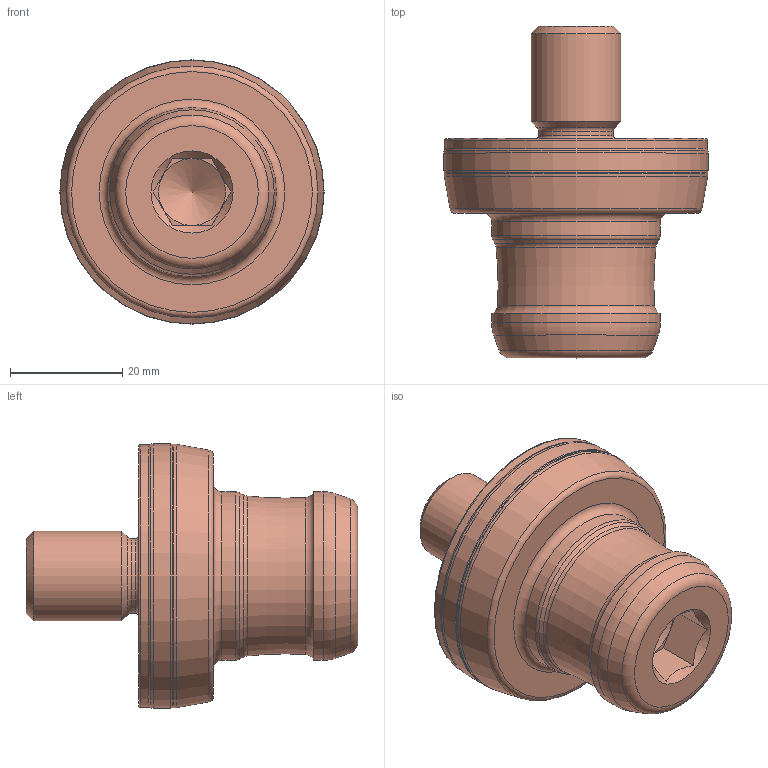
import cadquery as cq
import math


stud_radius = 8.0
stud_length = 20.0
stud_chamfer = 1.35
undercut_radius = 6.65
undercut_length = 3.05
undercut_round = 1.0
stud_root_fillet = 0.5
runout_angle = math.radians(45)

flange_thickness = 13.3
rim_radius = 23.5
rear_band_radius = 23.3
rear_edge_round = 0.3
rear_band_end = -1.75
rear_step_fillet = 0.5
rear_step_angle = math.radians(45)
rim_start = -2.6
rim_end = -5.65
groove_depth = 0.1
groove_width = 0.55
flange_front_radius = 22.4
flange_front_round = 1.0
flange_taper = math.radians(10)
taper_start = -6.75

knob_end = -39.0
knob_radius = 15.0
knob_root_fillet = 1.5
collar_end = -17.25
shoulder_round = 1.4
shoulder_slope_length = 0.7
shoulder_angle = math.radians(30)
waist_radius = 13.85
waist_position = -26.3
waist_end_radius = 13.95
waist_end = -29.65
bead_start = -31.15
bead_end = -32.8
nose_blend_radius = 6.3
nose_angle = math.radians(20)
nose_round = 2.0
nose_face_radius = 11.8

hex_across_flats = 12.0
hex_depth = 8.0
socket_mouth_radius = 7.3
socket_chamfer_angle = math.radians(45)
drill_radius = 5.95
drill_point_angle = math.radians(118)


def stud_outline(outline):
    """Axis, threaded cylinder, conical run-out and undercut, down to y = 0."""
    runout_end_radius = undercut_radius + undercut_round * (1 - math.cos(runout_angle))
    runout_end = undercut_length - (stud_radius - runout_end_radius) / math.tan(runout_angle)
    runout_round_end = runout_end - undercut_round * math.sin(runout_angle)
    return (
        outline.moveTo(0, stud_length)
        .lineTo(stud_radius - stud_chamfer, stud_length)
        .lineTo(stud_radius, stud_length - stud_chamfer)
        .lineTo(stud_radius, undercut_length)
        .lineTo(runout_end_radius, runout_end)
        .tangentArcPoint((undercut_radius, runout_round_end), relative=False)
        .lineTo(undercut_radius, stud_root_fillet)
        .tangentArcPoint((undercut_radius + stud_root_fillet, 0), relative=False)
    )


def flange_outline(outline):
    """Rear band, stepped rim, shallow groove and tapered front of the flange."""
    step_fillet_end = rear_band_end - rear_step_fillet * math.sin(rear_step_angle)
    step_fillet_radius = rear_band_radius + rear_step_fillet * (1 - math.cos(rear_step_angle))
    groove_radius = rim_radius - groove_depth
    groove_end = rim_end - groove_width
    taper_end = -flange_thickness + flange_front_round * (1 - math.sin(flange_taper))
    taper_end_radius = flange_front_radius
    taper_start_radius = taper_end_radius + (taper_start - taper_end) * math.tan(flange_taper)
    blend_radius = (groove_end - taper_start) / math.sin(flange_taper)
    blend_start_radius = taper_start_radius + blend_radius * (1 - math.cos(flange_taper))
    front_face_radius = taper_end_radius - flange_front_round * math.cos(flange_taper)
    return (
        outline.lineTo(rear_band_radius - rear_edge_round, 0)
        .tangentArcPoint((rear_band_radius, -rear_edge_round), relative=False)
        .lineTo(rear_band_radius, rear_band_end)
        .tangentArcPoint((step_fillet_radius, step_fillet_end), relative=False)
        .lineTo(rim_radius, rim_start)
        .lineTo(rim_radius, rim_end)
        .lineTo(groove_radius, rim_end - groove_depth)
        .lineTo(groove_radius, groove_end + groove_depth)
        .lineTo(blend_start_radius, groove_end)
        .radiusArc((taper_start_radius, taper_start), blend_radius)
        .lineTo(taper_end_radius, taper_end)
        .tangentArcPoint((front_face_radius, -flange_thickness), relative=False)
    )


def knob_outline(outline):
    """Collar, sloped shoulder, hollow waist, bead and rounded nose."""
    round_drop = shoulder_round * (1 - math.cos(shoulder_angle))
    round_run = shoulder_round * math.sin(shoulder_angle)
    slope_start_radius = knob_radius - round_drop
    slope_start = collar_end - round_run
    slope_end_radius = slope_start_radius - shoulder_slope_length * math.tan(shoulder_angle)
    slope_end = slope_start - shoulder_slope_length
    waist_start_radius = slope_end_radius - round_drop
    waist_start = slope_end - round_run
    cone_start_radius = knob_radius - nose_blend_radius * (1 - math.cos(nose_angle))
    cone_start = bead_end - nose_blend_radius * math.sin(nose_angle)
    cone_end_radius = nose_face_radius + nose_round * math.cos(nose_angle)
    cone_end = knob_end + nose_round * (1 - math.sin(nose_angle))
    return (
        outline.lineTo(knob_radius + knob_root_fillet, -flange_thickness)
        .tangentArcPoint((knob_radius, -flange_thickness - knob_root_fillet), relative=False)
        .lineTo(knob_radius, collar_end)
        .tangentArcPoint((slope_start_radius, slope_start), relative=False)
        .lineTo(slope_end_radius, slope_end)
        .tangentArcPoint((waist_start_radius, waist_start), relative=False)
        .threePointArc((waist_radius, waist_position), (waist_end_radius, waist_end))
        .tangentArcPoint((knob_radius, bead_start), relative=False)
        .lineTo(knob_radius, bead_end)
        .tangentArcPoint((cone_start_radius, cone_start), relative=False)
        .lineTo(cone_end_radius, cone_end)
        .tangentArcPoint((nose_face_radius, knob_end), relative=False)
        .lineTo(0, knob_end)
    )


def turned_body():
    outline = knob_outline(flange_outline(stud_outline(cq.Workplane("XY"))))
    return outline.close().revolve(360, (0, 0), (0, 1))


def cone_cut(radius, height, base):
    """Cone about Y with its base circle at y = base and its tip towards +Y."""
    return cq.Workplane(cq.Solid.makeCone(radius, 0, height, cq.Vector(0, base, 0), cq.Vector(0, 1, 0)))


def socket():
    """Hexagon with two corners on the X axis, a chamfered mouth and a drill point."""
    sides = 6
    corner_diameter = hex_across_flats / math.cos(math.pi / sides)
    hexagon = (
        cq.Workplane("XZ", origin=(0, knob_end, 0))
        .polygon(sides, corner_diameter)
        .extrude(-hex_depth)
    )
    mouth = cone_cut(socket_mouth_radius, socket_mouth_radius / math.tan(socket_chamfer_angle), knob_end)
    drill_point_height = drill_radius / math.tan(drill_point_angle / 2)
    drill_point = cone_cut(drill_radius, drill_point_height, knob_end + hex_depth)
    return hexagon.union(mouth).union(drill_point)


result = turned_body().cut(socket())